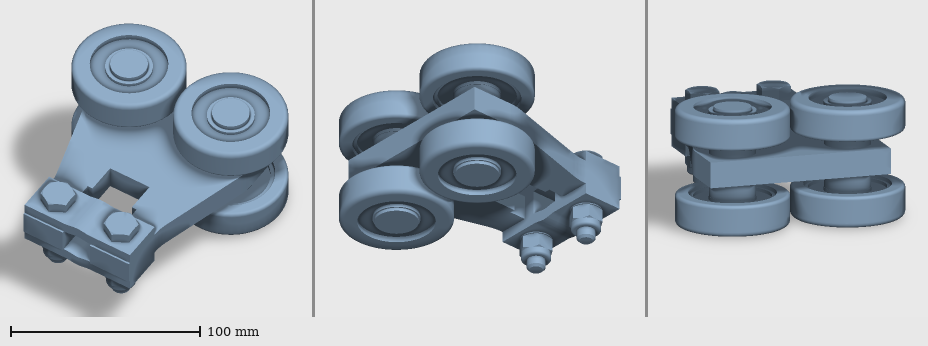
import cadquery as cq
import math


plate_thickness = 14.0
plate_half = plate_thickness / 2
plate_back = 18.0
plate_front = -101.0
plate_wide_half = 50.1
plate_narrow_half = 33.1
taper_start = -11.7
taper_end = -70.9
taper_radius = 28.9

slot_back = -48.8
slot_step = -65.9
slot_half = 12.4
slot_wide_half = 15.4
mouth_half = 8.5

strap_back = -76.0
strap_width = 23.9
strap_thickness = 6.2
strap_top = plate_half + strap_thickness
strap_middle = strap_back - strap_width / 2
bend_angle = math.radians(10)
bend_start = 7.9
bend_radius = 9.9
crown_radius = 14.5

bolt_spacing = 39.7
bolt_diameter = 10.0
bolt_end = -31.7
bolt_end_chamfer = 1.3
hex_flats = 16.0
hex_chamfer_angle = math.radians(30)
head_height = 6.2
washer_diameter = 17.2
washer_height = 0.7
nut_height = 8.2
nut_collar_height = 4.0
nut_collar_fillet = 1.3

wheel_spacing = 64.0
wheel_diameter = 61.0
wheel_inner = 14.9
wheel_outer = 32.0
outer_fillet = 2.6
inner_fillet = 1.8
lip_diameter = 41.5
ring_depth = 1.6
shield_depth = 3.4
outer_ring_outside = 47.0
outer_ring_inside = 42.0
inner_ring_outside = 25.4
bearing_corner = 1.3
ring_bottom = wheel_inner + ring_depth
ring_top = wheel_outer - ring_depth
shield_bottom = wheel_inner + shield_depth
shield_top = wheel_outer - shield_depth
axle_diameter = 25.0
pin_diameter = 20.0
wide_pin_diameter = 23.5
pin_end = 32.2


def cylinder(diameter, bottom, top):
    return cq.Workplane("XY").workplane(offset=bottom).circle(diameter / 2).extrude(top - bottom)


def box_between(half_width, front, back):
    """Symmetric box through the full plate thickness."""
    return cq.Workplane("XY").box(2 * half_width, back - front, plate_thickness).translate(
        (0, (front + back) / 2, 0))


def make_plate():
    outline = [
        (plate_wide_half, plate_back),
        (plate_wide_half, taper_start),
        (plate_narrow_half, taper_end),
        (plate_narrow_half, plate_front),
    ]
    outline += [(-x, y) for x, y in reversed(outline)]
    plate = cq.Workplane("XY").polyline(outline).close().extrude(plate_half, both=True)
    for bend in (taper_start, taper_end):
        corners = cq.selectors.BoxSelector(
            (-plate_wide_half - 1.3, bend - 1.3, -1.3), (plate_wide_half + 1.3, bend + 1.3, 1.3))
        plate = plate.edges("|Z").edges(corners).fillet(taper_radius)
    plate = plate.cut(box_between(slot_half, slot_step, slot_back))
    plate = plate.cut(box_between(slot_wide_half, strap_back, slot_step))
    return plate.cut(box_between(mouth_half, plate_front, strap_back))


def make_strap():
    """Upper strap: flat ends, a bend on each side and a rounded crown."""
    sine = math.sin(bend_angle)
    cosine = math.cos(bend_angle)
    half_sine = math.sin(bend_angle / 2)
    half_cosine = math.cos(bend_angle / 2)
    bend_centre = strap_top + bend_radius
    ramp_foot = bend_start - bend_radius * sine
    ramp_head = crown_radius * sine
    ramp_rise = (ramp_foot - ramp_head) * math.tan(bend_angle)
    crown_centre = bend_centre - bend_radius * cosine + ramp_rise - crown_radius * cosine

    def bend_point(side, depth, s, c):
        radius = bend_radius + depth
        return (side * (bend_start - radius * s), bend_centre - radius * c)

    def crown_point(side, depth):
        radius = crown_radius - depth
        return (side * radius * sine, crown_centre + radius * cosine)

    def surface(sketch, side, depth):
        """Trace one face from the given side across to the other."""
        flat = strap_top - depth
        return (
            sketch.lineTo(side * bend_start, flat)
            .threePointArc(bend_point(side, depth, half_sine, half_cosine),
                           bend_point(side, depth, sine, cosine))
            .lineTo(*crown_point(side, depth))
            .threePointArc((0, crown_centre + crown_radius - depth), crown_point(-side, depth))
            .lineTo(*bend_point(-side, depth, sine, cosine))
            .threePointArc(bend_point(-side, depth, half_sine, half_cosine),
                           (-side * bend_start, flat))
            .lineTo(-side * plate_narrow_half, flat)
        )

    sketch = cq.Workplane("XZ", origin=(0, strap_back, 0)).moveTo(-plate_narrow_half, strap_top)
    sketch = surface(sketch, -1, 0)
    sketch = sketch.lineTo(plate_narrow_half, strap_top - strap_thickness)
    sketch = surface(sketch, 1, strap_thickness)
    return sketch.close().extrude(strap_width)


def make_hex(bottom, height, chamfer_top, chamfer_bottom):
    """Hexagon with corners on the Y axis and conically trimmed corners."""
    corner_diameter = hex_flats / math.cos(math.pi / 6)
    drop = (corner_diameter - hex_flats) / 2 * math.tan(hex_chamfer_angle)
    inset = (corner_diameter - hex_flats) / 2
    body = (
        cq.Workplane("XY").polygon(6, corner_diameter).extrude(height)
        .rotate((0, 0, 0), (0, 0, 1), 90)
    )
    trim = cylinder(corner_diameter, 0, height)
    if chamfer_top:
        trim = trim.faces(">Z").chamfer(drop, inset)
    if chamfer_bottom:
        trim = trim.faces("<Z").chamfer(drop, inset)
    return body.intersect(trim).translate((0, 0, bottom))


def make_bolt():
    nut_top = -strap_top - washer_height
    nut_bottom = nut_top - nut_height
    collar = cylinder(hex_flats, nut_bottom - nut_collar_height, nut_bottom)
    collar = collar.faces("<Z").edges().fillet(nut_collar_fillet)
    washer = cylinder(washer_diameter, nut_top, -strap_top)
    shank = cylinder(bolt_diameter, bolt_end, strap_top).faces("<Z").chamfer(bolt_end_chamfer)
    head = make_hex(strap_top, head_height, True, False)
    nut = make_hex(nut_bottom, nut_height, True, True)
    return shank.union(head).union(washer).union(nut).union(collar)


def make_tyre():
    """Rounded wheel body with a stepped bore that holds the bearing."""
    tyre = cylinder(wheel_diameter, wheel_inner, wheel_outer)
    tyre = tyre.faces(">Z").edges().fillet(outer_fillet)
    tyre = tyre.faces("<Z").edges().fillet(inner_fillet)
    tyre = tyre.cut(cylinder(lip_diameter, ring_top, wheel_outer))
    return tyre.cut(cylinder(outer_ring_outside, wheel_inner, ring_top))


def make_bearing():
    """Bearing with rounded ring corners and a sunken shield on each face."""
    outer_ring = cylinder(outer_ring_outside, ring_bottom, ring_top)
    outer_ring = outer_ring.faces("<Z").edges().fillet(bearing_corner)
    outer_ring = outer_ring.cut(cylinder(outer_ring_inside, ring_bottom, ring_top))
    inner_ring = cylinder(inner_ring_outside, ring_bottom, ring_top)
    inner_ring = inner_ring.cut(cylinder(pin_diameter, ring_bottom, ring_top))
    bore_edge = cq.selectors.RadiusNthSelector(0)
    inner_ring = inner_ring.faces(">Z").edges(bore_edge).fillet(bearing_corner)
    shield = cylinder(outer_ring_inside, shield_bottom, shield_top)
    return outer_ring.union(shield).union(inner_ring)


def make_axle():
    """Stepped axle with a plain pin above and a wider pin below."""
    core = cylinder(axle_diameter, -ring_bottom, ring_bottom)
    pin = cylinder(pin_diameter, 0, pin_end)
    wide_pin = cylinder(wide_pin_diameter, -pin_end, 0)
    return core.union(pin).union(wide_pin)


strap = make_strap()
wheel = make_tyre().union(make_bearing())
bolt = make_bolt()
axle = make_axle()

result = make_plate().union(strap).union(strap.mirror("XY"))
for side in (-1, 1):
    axle_place = (side * wheel_spacing / 2, 0, 0)
    result = result.union(bolt.translate((side * bolt_spacing / 2, strap_middle, 0)))
    result = result.union(wheel.translate(axle_place))
    result = result.union(wheel.mirror("XY").translate(axle_place))
    result = result.union(axle.translate(axle_place))